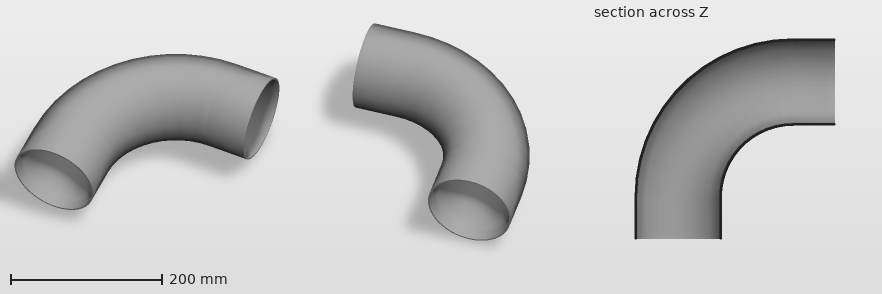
import cadquery as cq
import math

overall_length = 264.6
outer_diameter = 114.3
inner_diameter = 110.4
bend_radius = 152.2

straight_length = overall_length - outer_diameter / 2 - bend_radius


def elbow_centreline():
    """Centreline from the open -Y end, up through the bend, to the open +X end."""
    bend_start = (0, straight_length)
    bend_middle = (
        bend_radius * (1 - math.cos(math.radians(45))),
        straight_length + bend_radius * math.sin(math.radians(45)),
    )
    bend_end = (bend_radius, straight_length + bend_radius)
    return (
        cq.Workplane("XY")
        .lineTo(*bend_start)
        .threePointArc(bend_middle, bend_end)
        .lineTo(bend_radius + straight_length, bend_end[1])
    )


result = (
    cq.Workplane("XZ")
    .circle(outer_diameter / 2)
    .circle(inner_diameter / 2)
    .sweep(elbow_centreline())
)